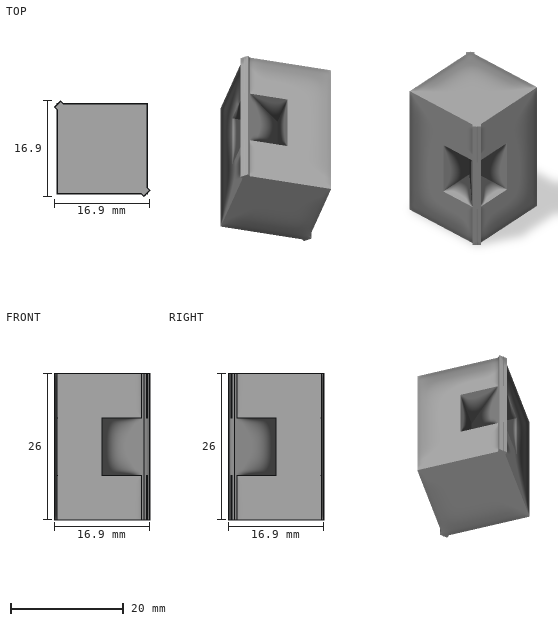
import cadquery as cq
import math

height = 26.0
overall_width = 16.9
block_side = 16.0
plate_thickness = 1.5
notch_height = 10.2

plate_length = overall_width * math.sqrt(2) - plate_thickness
notch_side = overall_width / 2


def make_plate():
    """Upright plate running between the (-X, +Y) and (+X, -Y) corners."""
    plate = cq.Workplane("XY").box(plate_length, plate_thickness, height)
    return plate.rotate((0, 0, 0), (0, 0, 1), -45)


def make_notch(x_sign):
    """Cutter for one quadrant of the block where the plate leaves its corner."""
    centre = notch_side / 2
    cutter = cq.Workplane("XY").box(notch_side, notch_side, notch_height)
    return cutter.translate((x_sign * centre, -x_sign * centre, 0))


block = cq.Workplane("XY").box(block_side, block_side, height)
for x_sign in (-1, 1):
    block = block.cut(make_notch(x_sign))

result = block.union(make_plate())